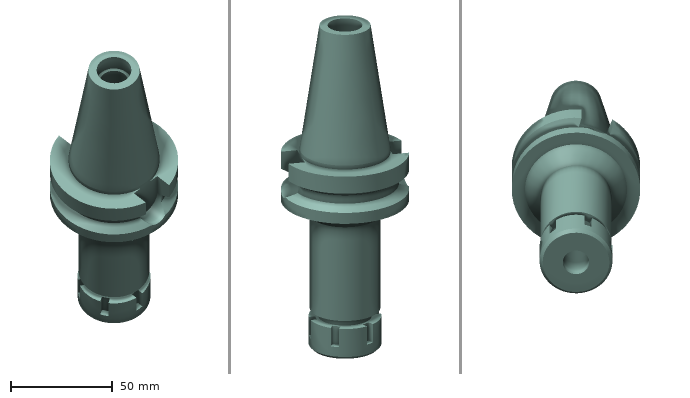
import cadquery as cq

total_height = 170.4
nut_height = 16.4
body_bottom = 20.5
body_top = 70.2
flange_bottom = 77.9
flange_top = 103.0
gauge_line = 105.0

taper_top_radius = 12.6
gauge_radius = 22.3
flange_radius = 31.5
body_radius = 17.4
neck_radius = 13.3
collar_height = flange_bottom - body_top
collar_radius = body_radius + collar_height

groove_radius = 26.5
groove_center = 88.8
groove_floor_width = 4.5
groove_mouth_width = 10.2

drive_slot_width = 16.0
drive_slot_floor = 22.2
drive_slot_bottom = 82.3

mouth_radius = 8.5
mouth_depth = 8.5
holder_bore_radius = 7.0
nut_bore_radius = 6.5

nut_radius = 17.9
nut_chamfer = 1.5
wrench_slot_count = 6
wrench_slot_width = 4.1
wrench_slot_floor = 14.7
wrench_slot_bottom = 6.6


def cylinder(radius, bottom, top):
    return cq.Workplane("XY").workplane(offset=bottom).circle(radius).extrude(top - bottom)


def turned_holder():
    """Taper, grooved flange, body and neck as one revolved profile."""
    floor_half = groove_floor_width / 2
    mouth_half = groove_mouth_width / 2
    return (
        cq.Workplane("XZ")
        .moveTo(0, nut_height)
        .lineTo(neck_radius, nut_height)
        .lineTo(neck_radius, body_bottom)
        .lineTo(body_radius, body_bottom)
        .lineTo(body_radius, body_top)
        .lineTo(collar_radius, flange_bottom)
        .lineTo(flange_radius, flange_bottom)
        .lineTo(flange_radius, groove_center - mouth_half)
        .lineTo(groove_radius, groove_center - floor_half)
        .lineTo(groove_radius, groove_center + floor_half)
        .lineTo(flange_radius, groove_center + mouth_half)
        .lineTo(flange_radius, flange_top)
        .lineTo(gauge_radius, flange_top)
        .lineTo(gauge_radius, gauge_line)
        .lineTo(taper_top_radius, total_height)
        .lineTo(0, total_height)
        .close()
        .revolve(360, (0, 0, 0), (0, 1, 0))
    )


def drive_slot(side):
    """Round-bottomed slot cutter, outside the slot floor on side +1 or -1 of X."""
    half_width = drive_slot_width / 2
    arc_center = drive_slot_bottom + half_width
    return (
        cq.Workplane("YZ")
        .workplane(offset=side * drive_slot_floor)
        .moveTo(-half_width, flange_top)
        .lineTo(-half_width, arc_center)
        .threePointArc((0, drive_slot_bottom), (half_width, arc_center))
        .lineTo(half_width, flange_top)
        .close()
        .extrude(side * (flange_radius - drive_slot_floor))
    )


def make_holder():
    holder = turned_holder()
    for side in (-1, 1):
        holder = holder.cut(drive_slot(side))
    holder = holder.cut(cylinder(holder_bore_radius, nut_height, total_height))
    return holder.cut(cylinder(mouth_radius, total_height - mouth_depth, total_height))


def wrench_slot(angle):
    """Slot cutter open at the rim and the upper face of the nut."""
    return (
        cq.Workplane("XY")
        .box(
            nut_radius - wrench_slot_floor,
            wrench_slot_width,
            nut_height - wrench_slot_bottom,
            centered=(False, True, False),
        )
        .translate((wrench_slot_floor, 0, wrench_slot_bottom))
        .rotate((0, 0, 0), (0, 0, 1), angle)
    )


def make_nut():
    nut = cylinder(nut_radius, 0, nut_height).faces("<Z").edges().chamfer(nut_chamfer)
    nut = nut.cut(cylinder(nut_bore_radius, 0, nut_height))
    for index in range(wrench_slot_count):
        nut = nut.cut(wrench_slot(index * 360 / wrench_slot_count))
    return nut


holder = make_holder()
nut = make_nut()
result = cq.Compound.makeCompound([holder.val(), nut.val()])